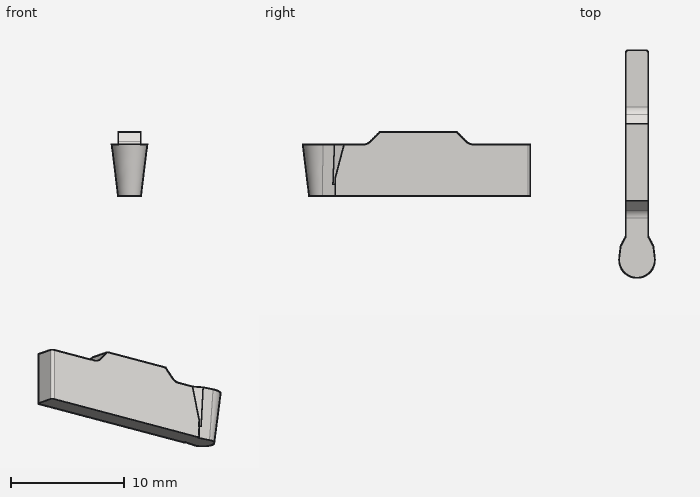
import cadquery as cq
import math

overall_length = 20.05
overall_height = 5.65
nose_diameter = 3.17
shank_width = 2.0
shoulder_height = 4.55
relief_angle = 7.0
flank_angle = 7.0
head_length = 2.80
neck_length = 3.65
shank_front_length = 2.87
foot_overrun = 0.4
step_height = 1.05
hump_top_length = 6.77
hump_to_back = 6.48
hump_angle = 45.0
hump_root_radius = 0.95
back_corner_radius = 0.25

nose_radius = nose_diameter / 2
tip_y = -nose_radius
back_y = tip_y + overall_length
hump_back_y = back_y - hump_to_back
hump_front_y = hump_back_y - hump_top_length
ramp_run = (overall_height - shoulder_height) / math.tan(math.radians(hump_angle))


def make_shank():
    """Straight bar with a raised hump, filleted ramp roots and rounded back corners."""
    front_y = tip_y + shank_front_length
    side_profile = [
        (front_y, 0),
        (back_y, 0),
        (back_y, shoulder_height),
        (hump_back_y + ramp_run, shoulder_height),
        (hump_back_y, overall_height),
        (hump_front_y, overall_height),
        (hump_front_y - ramp_run, shoulder_height),
        (front_y, shoulder_height),
    ]
    shank = cq.Workplane("YZ").polyline(side_profile).close().extrude(shank_width / 2, both=True)
    for root_y in (hump_front_y - ramp_run, hump_back_y + ramp_run):
        root_edge = cq.selectors.NearestToPointSelector((0, root_y, shoulder_height))
        shank = shank.edges("|X").edges(root_edge).fillet(hump_root_radius)
    return shank.faces(">Y").edges("|Z").fillet(back_corner_radius)


def drafted_head(flank_length):
    """Round-nosed head, full size at the shoulder and drafted inwards down to the underside.

    The flanks taper straight back for flank_length behind the nose tip, then the outline
    turns in to the width of the shank at the neck.
    """
    angle = math.radians(flank_angle)
    tangent_x = nose_radius * math.cos(angle)
    tangent_y = nose_radius * math.sin(angle)
    flank_end_y = tip_y + flank_length
    flank_end_x = tangent_x - (flank_end_y - tangent_y) * math.tan(angle)
    neck_y = tip_y + neck_length
    neck_x = min(shank_width / 2, flank_end_x)
    return (
        cq.Workplane("XY", origin=(0, 0, shoulder_height))
        .moveTo(-tangent_x, tangent_y)
        .threePointArc((0, tip_y), (tangent_x, tangent_y))
        .lineTo(flank_end_x, flank_end_y)
        .lineTo(neck_x, neck_y)
        .lineTo(-neck_x, neck_y)
        .lineTo(-flank_end_x, flank_end_y)
        .close()
        .extrude(-shoulder_height, taper=relief_angle)
    )


def make_head_foot():
    """Lowest part of the head, whose flanks run straight back to meet the shank front."""
    foot_end_y = tip_y + shank_front_length
    foot_space = (
        cq.Workplane("XY")
        .box(nose_diameter, foot_end_y - tip_y, step_height, centered=(True, False, False))
        .translate((0, tip_y, 0))
    )
    return drafted_head(shank_front_length + foot_overrun).intersect(foot_space)


result = make_shank().union(drafted_head(head_length)).union(make_head_foot())